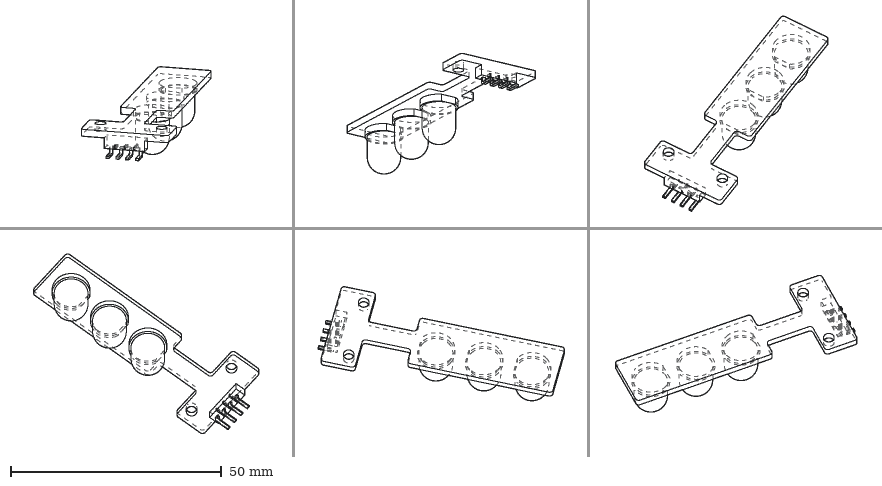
import cadquery as cq


overall_length = 57.7

board_thickness = 1.75
foot_width = 21.5
foot_length = 8.35
neck_width = 5.1
neck_length = 11.75
head_width = 13.1
board_length = 55.5
corner_radius = 0.8
mount_hole_diameter = 2.55
mount_hole_spacing = 15.0
mount_hole_y = 6.1

pin_count = 4
pin_pitch = 2.4
header_width = 9.9
header_length = 2.65
header_height = 2.6
slot_width = 0.3
slot_height = 0.85
pin_width = 0.75
pin_thickness = 0.5
pin_row_offset = 0.05
pin_drop = 1.75
pin_overhang = overall_length - board_length
pin_inner_radius = 0.2
pin_outer_radius = pin_inner_radius + pin_thickness

led_count = 3
led_pitch = 11.7
led_end_distance = 6.5
led_diameter = 8.0
led_radius = led_diameter / 2
led_height = 10.85
flange_radius = 4.5
flange_height = 1.75


def along_header(count):
    """X positions of evenly pitched features centred on the header."""
    return [(i - (count - 1) / 2) * pin_pitch for i in range(count)]


def make_plate():
    """Board with a wide foot, narrow neck and long head, all corners rounded."""
    neck_end = foot_length + neck_length
    right_side = [
        (foot_width / 2, 0),
        (foot_width / 2, foot_length),
        (neck_width / 2, foot_length),
        (neck_width / 2, neck_end),
        (head_width / 2, neck_end),
        (head_width / 2, board_length),
    ]
    left_side = [(-x, y) for x, y in reversed(right_side)]
    plate = cq.Workplane("XY").polyline(right_side + left_side).close().extrude(board_thickness)
    plate = plate.edges("|Z").fillet(corner_radius)
    mount_holes = (
        cq.Workplane("XY")
        .pushPoints([(side * mount_hole_spacing / 2, mount_hole_y) for side in (-1, 1)])
        .circle(mount_hole_diameter / 2)
        .extrude(board_thickness)
    )
    return plate.cut(mount_holes)


def make_header_block():
    """Block flush with the board's front edge, with narrow slots between the pins."""
    block = cq.Workplane("XY").box(header_width, header_length, header_height, centered=(True, False, False))
    slots = (
        cq.Workplane("XY")
        .pushPoints([(x, header_length / 2) for x in along_header(pin_count - 1)])
        .rect(slot_width, header_length)
        .extrude(slot_height)
    )
    return block.cut(slots).translate((0, 0, -header_height))


def make_pin(x):
    """Flat pin that drops from the header block and bends forward past the board edge."""
    back = (header_length + pin_thickness) / 2
    front = back - pin_thickness
    root = -header_height
    bottom = root - pin_drop
    top = bottom + pin_thickness
    pin = (
        cq.Workplane("YZ")
        .moveTo(back, root)
        .lineTo(back, bottom + pin_outer_radius)
        .radiusArc((back - pin_outer_radius, bottom), pin_outer_radius)
        .lineTo(-pin_overhang, bottom)
        .lineTo(-pin_overhang, top)
        .lineTo(front - pin_inner_radius, top)
        .radiusArc((front, top + pin_inner_radius), -pin_inner_radius)
        .lineTo(front, root)
        .close()
        .extrude(pin_width / 2, both=True)
    )
    return pin.translate((x, 0, 0))


def make_board():
    """Board, header block and pins as one solid."""
    board = make_plate().union(make_header_block())
    for x in along_header(pin_count):
        board = board.union(make_pin(x + pin_row_offset))
    return board


def make_led(y):
    """Round LED, dome down, with a flange cut flat on the front side."""
    dome_base = led_radius - led_height
    bulb = (
        cq.Workplane("XZ")
        .lineTo(led_radius, 0)
        .lineTo(led_radius, dome_base)
        .radiusArc((0, -led_height), led_radius)
        .close()
        .revolve(360, (0, 0), (0, 1))
    )
    flange = cq.Workplane("XY").circle(flange_radius).extrude(-flange_height)
    keep_length = led_radius + flange_radius
    keep_box = cq.Workplane("XY").box(
        2 * flange_radius, keep_length, flange_height, centered=(True, False, False)
    ).translate((0, -led_radius, -flange_height))
    return bulb.union(flange.intersect(keep_box)).translate((0, y, 0))


board = make_board()
last_led_y = board_length - led_end_distance
leds = [make_led(last_led_y - i * led_pitch) for i in range(led_count)]

result = cq.Compound.makeCompound([board.val(), *[led.val() for led in leds]])